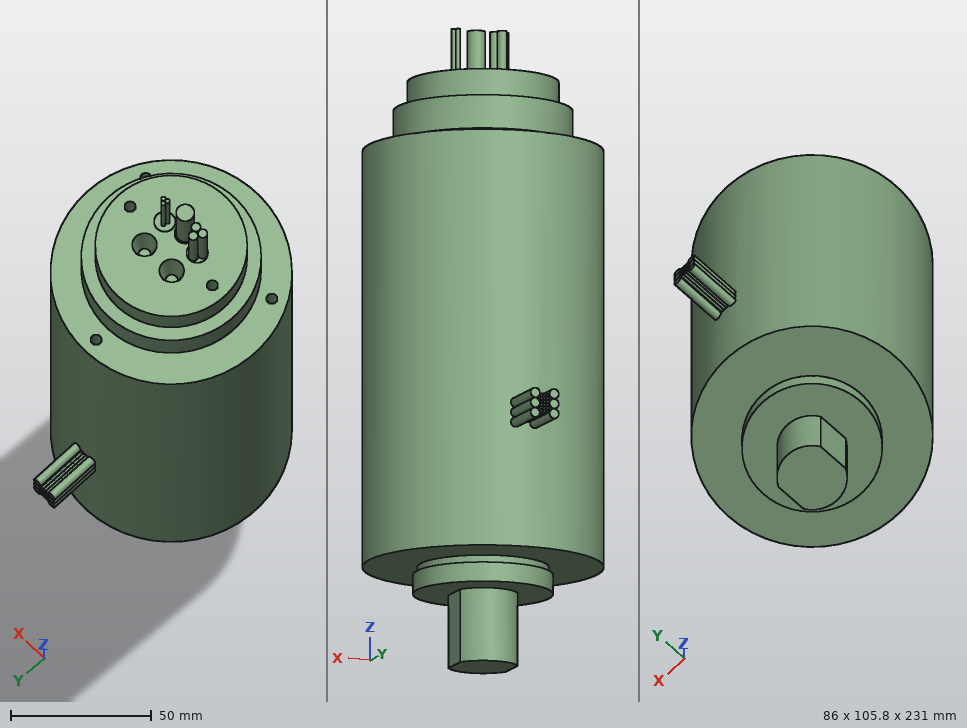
import cadquery as cq
import math

total_height = 231.0
shaft_length = 26.3
collar_height = 7.0
lower_neck_height = 2.8
body_height = 150.4
upper_neck_height = 2.5
flange_height = 12.0
cap_height = 10.5

collar_diameter = 50.0
lower_neck_diameter = 47.0
body_diameter = 86.0
upper_neck_diameter = 61.0
flange_diameter = 64.0
cap_diameter = 54.0

shaft_diameter = 25.0
shaft_across_flats = 21.7

screw_hole_diameter = 4.0
screw_hole_depth = 9.2
drill_point_angle = 118.0
body_screw_circle_radius = 37.2
cap_screw_spacing = 42.0

port_spacing = 13.9
port_y = 6.5
port_mouth_diameter = 8.8
port_floor_diameter = 4.5
port_depth = 9.2

entry_diameter = 7.6
entry_depth = 0.2
side_entry_x = 8.3
side_entry_y = -4.9
middle_entry_y = -7.0
middle_cable_diameter = 6.5

wire_diameter = 3.35
wire_pitch = 3.5
thin_wire_diameter = 1.6
thin_wire_pitch = 1.7
thin_bundle_turn = 15.0

side_lead_tip_y = 62.8
side_lead_root_y = 34.6
side_lead_height = 84.3
side_wire_diameter = 3.5
side_wire_pitch = 3.58
fine_wire_diameter = 1.06
fine_wire_pitch = 1.2

body_bottom = shaft_length + collar_height + lower_neck_height
body_top = body_bottom + body_height
cap_top = body_top + upper_neck_height + flange_height + cap_height


def turned_body():
    """Shaft with the stack of coaxial steps above it."""
    steps = [
        (collar_diameter, collar_height),
        (lower_neck_diameter, lower_neck_height),
        (body_diameter, body_height),
        (upper_neck_diameter, upper_neck_height),
        (flange_diameter, flange_height),
        (cap_diameter, cap_height),
    ]
    solid = shaft()
    level = shaft_length
    for diameter, height in steps:
        base = cq.Workplane("XY", origin=(0, 0, level))
        solid = solid.union(base.circle(diameter / 2).extrude(height))
        level += height
    return solid


def shaft():
    """Round shaft with two flats facing -X and +X."""
    round_bar = cq.Workplane("XY").circle(shaft_diameter / 2).extrude(shaft_length)
    flats = cq.Workplane("XY").rect(shaft_across_flats, shaft_diameter).extrude(shaft_length)
    return round_bar.intersect(flats)


def screw_hole(x, y, mouth_level):
    """Cutter for a drilled hole that opens upwards."""
    radius = screw_hole_diameter / 2
    point_length = radius / math.tan(math.radians(drill_point_angle / 2))
    profile = [(0, 0), (radius, 0), (radius, -screw_hole_depth), (0, -screw_hole_depth - point_length)]
    drill = cq.Workplane("XZ").polyline(profile).close().revolve(360, (0, 0), (0, 1))
    return drill.translate((x, y, mouth_level))


def hose_port(x):
    """Cutter for a conical port that narrows to a flat floor."""
    mouth = cq.Workplane("XY", origin=(x, port_y, cap_top)).circle(port_mouth_diameter / 2)
    return mouth.workplane(offset=-port_depth).circle(port_floor_diameter / 2).loft()


def cable_entry(x, y):
    """Cutter for the shallow recess around a cable."""
    floor = cq.Workplane("XY", origin=(x, y, cap_top - entry_depth))
    return floor.circle(entry_diameter / 2).extrude(entry_depth)


def upright_wires(points, diameter):
    """Wires that rise from inside the cap to the full height."""
    root_level = cap_top - cap_height / 2
    base = cq.Workplane("XY", origin=(0, 0, root_level))
    return base.pushPoints(points).circle(diameter / 2).extrude(total_height - root_level)


def triangle_points(x, y, pitch, turn):
    """Centres of three neighbouring wires, one of them toward +Y before the turn."""
    reach = pitch / math.sqrt(3)
    angles = [math.radians(90 + turn + 120 * i) for i in range(3)]
    return [(x + reach * math.cos(a), y + reach * math.sin(a)) for a in angles]


def side_leads():
    """Lead bundle toward +Y: two columns of thick wires with fine wires between them."""
    base = cq.Workplane("XZ", origin=(0, side_lead_tip_y, side_lead_height))
    length = side_lead_tip_y - side_lead_root_y
    thick_grid = base.rarray(2 * side_wire_pitch, side_wire_pitch, 2, 3)
    fine_grid = base.rarray(fine_wire_pitch, fine_wire_pitch, 3, 6)
    thick_wires = thick_grid.circle(side_wire_diameter / 2).extrude(length)
    fine_wires = fine_grid.circle(fine_wire_diameter / 2).extrude(length)
    return thick_wires.union(fine_wires)


result = turned_body()

for i in range(3):
    angle = math.radians(90 + 120 * i)
    hole_x = body_screw_circle_radius * math.cos(angle)
    hole_y = body_screw_circle_radius * math.sin(angle)
    result = result.cut(screw_hole(hole_x, hole_y, body_top))

for side in (-1, 1):
    result = result.cut(screw_hole(side * cap_screw_spacing / 2, 0, cap_top))
    result = result.cut(hose_port(side * port_spacing / 2))
    result = result.cut(cable_entry(side * side_entry_x, side_entry_y))
result = result.cut(cable_entry(0, middle_entry_y))

power_wires = triangle_points(-side_entry_x, side_entry_y, wire_pitch, 0)
signal_wires = triangle_points(side_entry_x, side_entry_y, thin_wire_pitch, thin_bundle_turn)
result = result.union(upright_wires(power_wires, wire_diameter))
result = result.union(upright_wires([(0, middle_entry_y)], middle_cable_diameter))
result = result.union(upright_wires(signal_wires, thin_wire_diameter))
result = result.union(side_leads())